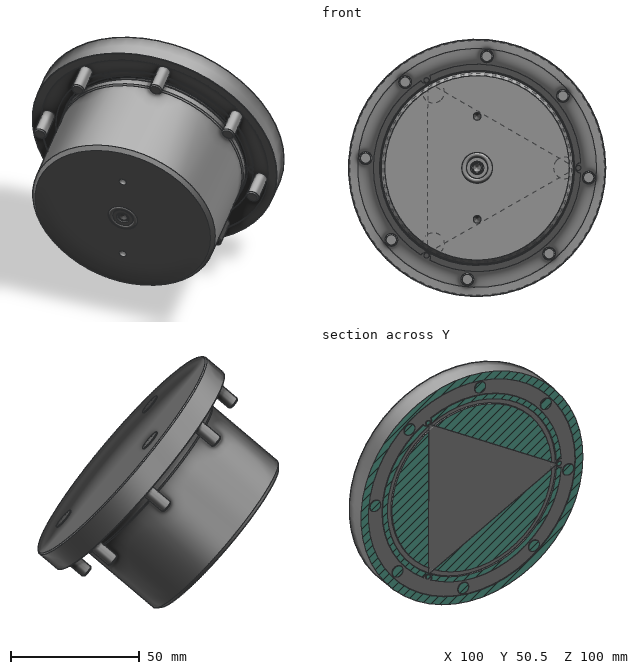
import cadquery as cq
import math


FLANGE_DIAMETER = 100.0
FLANGE_THICKNESS = 9.7
FLANGE_BACK_CHAMFER = 0.5
FLANGE_FRONT_CHAMFER = 0.2

NECK_RADIUS = 36.0
NECK_RING_BULGE = 0.7
NECK_LENGTH = 1.7
COLLAR_RADIUS = 37.7
COLLAR_LENGTH = 2.4
COLLAR_TAPER = 0.7
BODY_RADIUS = 37.3
BODY_HEIGHT = 40.1
BODY_CHAMFER = 1.5

SEAT_RADIUS = 46.4
SEAT_DEPTH = 0.5
RING_RADIUS = 40.3
GAP_RADIUS = 37.9
GAP_DEPTH = 1.0
NOTCH_DIAMETER = 4.0
LOCATING_PIN_DIAMETER = 2.0
LOCATING_PIN_CIRCLE_RADIUS = 39.3
LOCATING_PIN_COUNT = 3

PIN_DIAMETER = 5.0
PIN_LENGTH = 10.5
PIN_CHAMFER = 0.5
PIN_CIRCLE_RADIUS = 43.5
PIN_COUNT = 8
PIN_START_ANGLE = -5.0

PAD_DIAMETER = 8.5
PAD_HEIGHT = 0.4
PAD_CIRCLE_RADIUS = 34.0
PAD_COUNT = 3

GROOVE_OUTER_DIAMETER = 12.0
GROOVE_INNER_DIAMETER = 8.2
GROOVE_DEPTH = 0.6
SEAL_CLEARANCE = 0.05
SEAL_HEIGHT = 0.3
PORT_DIAMETER = 5.2
PORT_FLOOR_DIAMETER = 4.3
PORT_DRILL_DIAMETER = 3.3

FACE_HOLE_DIAMETER = 3.0
FACE_HOLE_DEPTH = 4.0
FACE_HOLE_OFFSET = 20.0

DRILL_POINT_ANGLE = 118.0


def front_plane(height):
    """Plane facing -Y at the given height in front of the flange face."""
    return cq.Plane(origin=(0, -height, 0), xDir=(1, 0, 0), normal=(0, -1, 0))


def polar_points(count, radius, start_angle=0.0):
    """Evenly spaced (x, z) points on a circle."""
    angles = [math.radians(start_angle + i * 360.0 / count) for i in range(count)]
    return [(radius * math.cos(a), radius * math.sin(a)) for a in angles]


def turn(profile):
    """Revolve a closed (radius, y) profile about the Y axis."""
    return profile.close().revolve(360, (0, 0, 0), (0, 1, 0))


def turned_blank():
    """Flange, neck ring, collar, chamfered body and grooved seal in one profile."""
    flange_radius = FLANGE_DIAMETER / 2
    collar_end = NECK_LENGTH + COLLAR_LENGTH
    groove_outer = GROOVE_OUTER_DIAMETER / 2
    groove_inner = GROOVE_INNER_DIAMETER / 2
    groove_middle = (groove_outer + groove_inner) / 2
    groove_floor = GROOVE_DEPTH - BODY_HEIGHT
    profile = (
        cq.Workplane("XY")
        .moveTo(0, FLANGE_THICKNESS)
        .lineTo(flange_radius - FLANGE_BACK_CHAMFER, FLANGE_THICKNESS)
        .lineTo(flange_radius, FLANGE_THICKNESS - FLANGE_BACK_CHAMFER)
        .lineTo(flange_radius, FLANGE_FRONT_CHAMFER)
        .lineTo(flange_radius - FLANGE_FRONT_CHAMFER, 0)
        .lineTo(SEAT_RADIUS, 0)
        .lineTo(SEAT_RADIUS, SEAT_DEPTH)
        .lineTo(GAP_RADIUS, SEAT_DEPTH)
        .lineTo(GAP_RADIUS, GAP_DEPTH)
        .lineTo(NECK_RADIUS, GAP_DEPTH)
        .lineTo(NECK_RADIUS, 0)
        .threePointArc((NECK_RADIUS + NECK_RING_BULGE, -NECK_LENGTH / 2), (NECK_RADIUS, -NECK_LENGTH))
        .lineTo(COLLAR_RADIUS, -NECK_LENGTH)
        .lineTo(COLLAR_RADIUS, -collar_end)
        .lineTo(BODY_RADIUS, -collar_end - COLLAR_TAPER)
        .lineTo(BODY_RADIUS, -BODY_HEIGHT + BODY_CHAMFER)
        .lineTo(BODY_RADIUS - BODY_CHAMFER, -BODY_HEIGHT)
        .lineTo(groove_outer, -BODY_HEIGHT)
        .lineTo(groove_outer, groove_floor)
        .lineTo(groove_outer - SEAL_CLEARANCE, groove_floor)
        .threePointArc(
            (groove_middle, -BODY_HEIGHT - SEAL_HEIGHT),
            (groove_inner + SEAL_CLEARANCE, groove_floor),
        )
        .lineTo(groove_inner, groove_floor)
        .lineTo(groove_inner, -BODY_HEIGHT)
        .lineTo(0, -BODY_HEIGHT)
    )
    return turn(profile)


def notched_ring():
    """Ring on the seat floor, level with the flange face, notched around the locating pins."""
    seat = cq.Workplane(front_plane(-SEAT_DEPTH))
    ring = seat.circle(RING_RADIUS).circle(GAP_RADIUS).extrude(SEAT_DEPTH)
    notches = (
        seat.pushPoints(polar_points(LOCATING_PIN_COUNT, RING_RADIUS))
        .circle(NOTCH_DIAMETER / 2)
        .extrude(SEAT_DEPTH)
    )
    return ring.cut(notches)


def locating_pins():
    """Small pins inside the ring notches, level with the flange face."""
    return (
        cq.Workplane(front_plane(-SEAT_DEPTH))
        .pushPoints(polar_points(LOCATING_PIN_COUNT, LOCATING_PIN_CIRCLE_RADIUS))
        .circle(LOCATING_PIN_DIAMETER / 2)
        .extrude(SEAT_DEPTH)
    )


def pins():
    """Chamfered pins standing on the flange, rooted at the seat floor."""
    return (
        cq.Workplane(front_plane(-SEAT_DEPTH))
        .pushPoints(polar_points(PIN_COUNT, PIN_CIRCLE_RADIUS, PIN_START_ANGLE))
        .circle(PIN_DIAMETER / 2)
        .extrude(SEAT_DEPTH + PIN_LENGTH)
        .faces("<Y")
        .chamfer(PIN_CHAMFER)
    )


def back_pads():
    """Round pads on the back of the flange."""
    return (
        cq.Workplane(front_plane(-FLANGE_THICKNESS - PAD_HEIGHT))
        .pushPoints(polar_points(PAD_COUNT, PAD_CIRCLE_RADIUS))
        .circle(PAD_DIAMETER / 2)
        .extrude(PAD_HEIGHT)
    )


def drill_tip_length(diameter):
    """Length of the conical tip of a drilled hole."""
    return diameter / 2 / math.tan(math.radians(DRILL_POINT_ANGLE / 2))


def face_hole(z):
    """Drilled blind hole with a conical bottom in the body face."""
    radius = FACE_HOLE_DIAMETER / 2
    bottom = FACE_HOLE_DEPTH - BODY_HEIGHT
    hole = turn(
        cq.Workplane("XY")
        .moveTo(0, -BODY_HEIGHT)
        .lineTo(radius, -BODY_HEIGHT)
        .lineTo(radius, bottom)
        .lineTo(0, bottom + drill_tip_length(FACE_HOLE_DIAMETER))
    )
    return hole.translate((0, 0, z))


def centre_port():
    """Shallow countersink with a flat floor and a conical drill point in its middle."""
    port_radius = PORT_DIAMETER / 2
    floor_radius = PORT_FLOOR_DIAMETER / 2
    floor = port_radius - floor_radius - BODY_HEIGHT
    return turn(
        cq.Workplane("XY")
        .moveTo(0, -BODY_HEIGHT)
        .lineTo(port_radius, -BODY_HEIGHT)
        .lineTo(floor_radius, floor)
        .lineTo(PORT_DRILL_DIAMETER / 2, floor)
        .lineTo(0, floor + drill_tip_length(PORT_DRILL_DIAMETER))
    )


result = turned_blank().union(notched_ring()).union(locating_pins())
result = result.union(pins()).union(back_pads())
result = result.cut(centre_port())
for hole_z in (-FACE_HOLE_OFFSET, FACE_HOLE_OFFSET):
    result = result.cut(face_hole(hole_z))